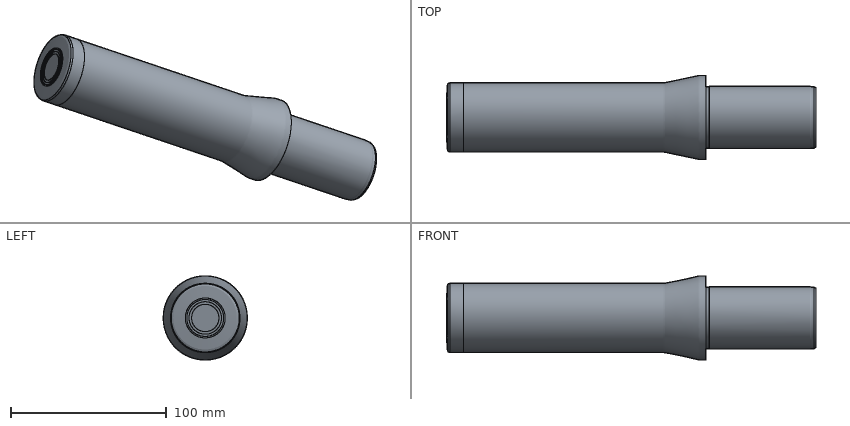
import cadquery as cq

LENGTH = 237.0
LEFT_END = -LENGTH / 2
RIGHT_END = LENGTH / 2

BARREL_RADIUS = 44.5 / 2
FRONT_FLAT_RADIUS = 12.8
FRONT_CONE_RADIUS = 20.5
FRONT_CONE_DEPTH = 0.5
FRONT_BEVEL_RADIUS = 21.8
FRONT_BEVEL_DEPTH = 1.0
FRONT_RIM_DEPTH = 2.1

CAP_LENGTH = 11.0

FACE_GROOVES = [(8.8, 10.5), (11.8, FRONT_FLAT_RADIUS)]
FACE_GROOVE_DEPTH = 0.5

FLARE_START = LEFT_END + 139.8
COLLAR_START = LEFT_END + 162.0
COLLAR_END = LEFT_END + 166.4
COLLAR_RADIUS = 54.0 / 2
FLARE_BLEND_RADIUS = 3.5

EDGE_TOLERANCE = 0.02

SHANK_RADIUS = 40.0 / 2
NECK_RADIUS = 39.5 / 2
NECK_LENGTH = 2.0
NECK_TAPER = 0.5
TIP_LENGTH = 3.8
TIP_TAPER = 1.0
TIP_CHAMFER_LENGTH = 1.5
TIP_CHAMFER_HEIGHT = 0.7


def revolve_about_x(outline):
    """Revolve a closed (x, radius) outline about the X axis."""
    return cq.Workplane("XY").polyline(outline).close().revolve(360, (0, 0, 0), (1, 0, 0))


def make_face_groove(inner_radius, outer_radius):
    groove_floor = LEFT_END + FACE_GROOVE_DEPTH
    return revolve_about_x([
        (LEFT_END, inner_radius),
        (groove_floor, inner_radius),
        (groove_floor, outer_radius),
        (LEFT_END, outer_radius),
    ])


def make_front_cap():
    cap_end = LEFT_END + CAP_LENGTH
    cap = revolve_about_x([
        (LEFT_END, 0),
        (LEFT_END, FRONT_FLAT_RADIUS),
        (LEFT_END + FRONT_CONE_DEPTH, FRONT_CONE_RADIUS),
        (LEFT_END + FRONT_BEVEL_DEPTH, FRONT_BEVEL_RADIUS),
        (LEFT_END + FRONT_RIM_DEPTH, BARREL_RADIUS),
        (cap_end, BARREL_RADIUS),
        (cap_end, 0),
    ])
    for inner_radius, outer_radius in FACE_GROOVES:
        cap = cap.cut(make_face_groove(inner_radius, outer_radius))
    return cap


def blend_edge_at(body, x, edge_radius, blend_radius):
    """Blend the circular edge of the given radius at position x."""
    selector = cq.selectors.BoxSelector(
        (x - EDGE_TOLERANCE, -edge_radius, -edge_radius),
        (x + EDGE_TOLERANCE, edge_radius, edge_radius),
    )
    return body.edges(selector).fillet(blend_radius)


def make_holder():
    cap_end = LEFT_END + CAP_LENGTH
    neck_end = COLLAR_END + NECK_LENGTH
    tip_start = RIGHT_END - TIP_LENGTH
    holder = revolve_about_x([
        (cap_end, 0),
        (cap_end, BARREL_RADIUS),
        (FLARE_START, BARREL_RADIUS),
        (COLLAR_START, COLLAR_RADIUS),
        (COLLAR_END, COLLAR_RADIUS),
        (COLLAR_END, NECK_RADIUS),
        (neck_end, NECK_RADIUS),
        (neck_end + NECK_TAPER, SHANK_RADIUS),
        (tip_start, SHANK_RADIUS),
        (tip_start + TIP_TAPER, NECK_RADIUS),
        (RIGHT_END - TIP_CHAMFER_LENGTH, NECK_RADIUS),
        (RIGHT_END, NECK_RADIUS - TIP_CHAMFER_HEIGHT),
        (RIGHT_END, 0),
    ])
    holder = blend_edge_at(holder, FLARE_START, BARREL_RADIUS, FLARE_BLEND_RADIUS)
    return blend_edge_at(holder, COLLAR_START, COLLAR_RADIUS, FLARE_BLEND_RADIUS)


front_cap = make_front_cap()
holder = make_holder()
result = cq.Compound.makeCompound([front_cap.val(), holder.val()])